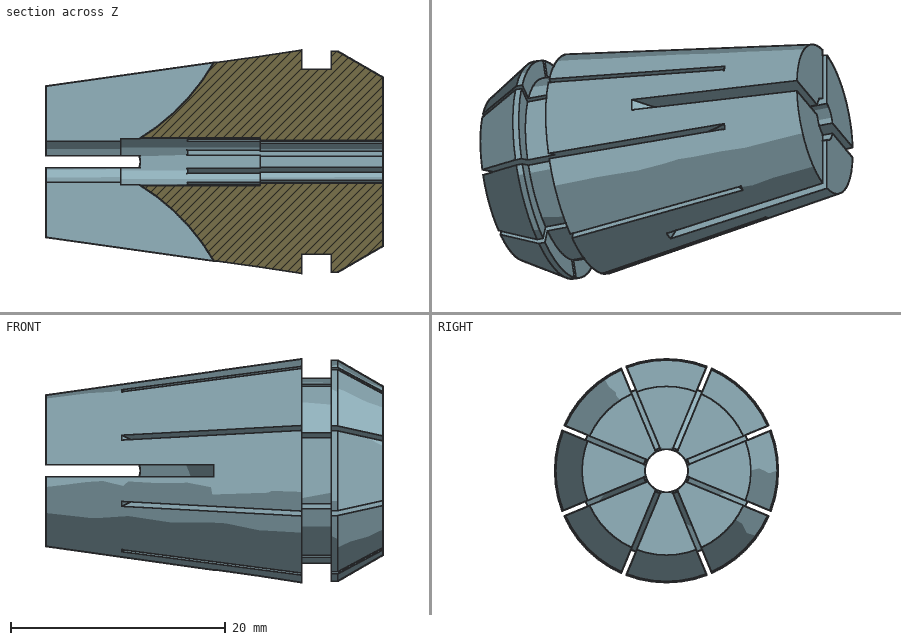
import cadquery as cq
import math


length = 31.5
taper_length = 23.9
groove_width = 2.75
rim_width = 0.6
rim_start = taper_length + groove_width
chamfer_start = rim_start + rim_width

taper_large_radius = 10.45
taper_half_angle = 8.0
taper_small_radius = taper_large_radius - taper_length * math.tan(math.radians(taper_half_angle))
groove_radius = 8.66
rim_radius = 10.33
chamfer_half_angle = 30.0
end_radius = rim_radius - (length - chamfer_start) * math.tan(math.radians(chamfer_half_angle))

bore_radius = 2.0
relief_radius = 2.2
relief_start = 7.0
relief_end = 20.0

saw_radius = 20.0
saw_center_height = 19.25
front_slit_count = 4
front_slit_width = 1.08
front_slit_depth = 15.7
rear_slit_count = 8
rear_slit_width = 0.5
rear_slit_start = 7.1
rear_slit_first_angle = 180.0 / rear_slit_count
clearance = 1.0
slit_top = taper_large_radius + clearance


def taper_radius(x):
    return taper_small_radius + x * math.tan(math.radians(taper_half_angle))


def saw_reach(height):
    """Axial distance from the saw centre to its rim at a height above the collet axis."""
    return math.sqrt(saw_radius**2 - (saw_center_height - height) ** 2)


def make_body():
    outline = [
        (0, 0),
        (0, taper_small_radius),
        (taper_length, taper_large_radius),
        (taper_length, groove_radius),
        (rim_start, groove_radius),
        (rim_start, rim_radius),
        (chamfer_start, rim_radius),
        (length, end_radius),
        (length, 0),
    ]
    return cq.Workplane("XZ").polyline(outline).close().revolve(360, (0, 0, 0), (1, 0, 0))


def make_bore():
    through = cq.Workplane("YZ").circle(bore_radius).extrude(length)
    relief = (
        cq.Workplane("YZ")
        .workplane(offset=relief_start)
        .circle(relief_radius)
        .extrude(relief_end - relief_start)
    )
    return through.union(relief)


def make_slit(open_end, surface_x, width, direction):
    """Slit above the axis, from an open end to where the saw leaves the taper surface.

    direction is +1 when the saw cuts toward +X and -1 when it cuts toward -X.
    """
    saw_center_x = surface_x - direction * saw_reach(taper_radius(surface_x))
    middle_height = slit_top / 2
    floor_start = (saw_center_x + direction * saw_reach(0), 0)
    floor_middle = (saw_center_x + direction * saw_reach(middle_height), middle_height)
    floor_end = (saw_center_x + direction * saw_reach(slit_top), slit_top)
    return (
        cq.Workplane("XZ")
        .moveTo(open_end, 0)
        .lineTo(*floor_start)
        .threePointArc(floor_middle, floor_end)
        .lineTo(open_end, slit_top)
        .close()
        .extrude(width / 2, both=True)
    )


def cut_around(body, slit, count, first_angle):
    for index in range(count):
        angle = first_angle + index * 360 / count
        body = body.cut(slit.rotate((0, 0, 0), (1, 0, 0), angle))
    return body


front_slit = make_slit(-clearance, front_slit_depth, front_slit_width, 1)
rear_slit = make_slit(length + clearance, rear_slit_start, rear_slit_width, -1)

collet = make_body().cut(make_bore())
collet = cut_around(collet, front_slit, front_slit_count, 0)
result = cut_around(collet, rear_slit, rear_slit_count, rear_slit_first_angle)